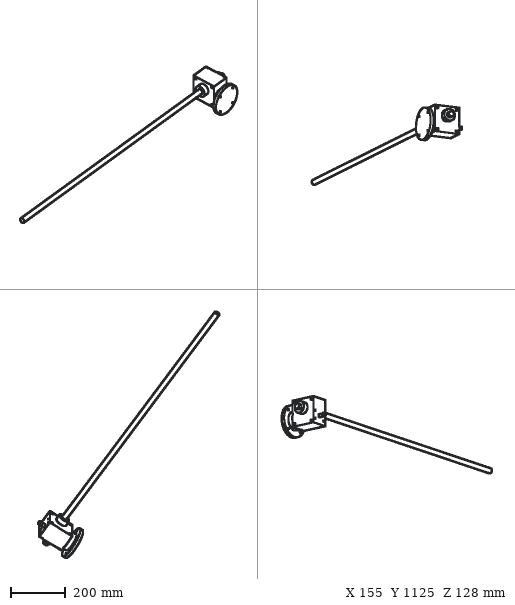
import cadquery as cq


HOUSING_LENGTH = 100.0
HOUSING_DEPTH = 70.0
HOUSING_HEIGHT = 100.0
HOUSING_TOP_Z = 68.0

BOSS_DIAMETER = 44.0
BOSS_LENGTH = 20.0

CORNER_HOLE_DIAMETER = 9.0
CORNER_HOLE_SPACING_X = 80.0
CORNER_HOLE_SPACING_Z = 84.0

FACE_HOLE_DIAMETER = 5.0
FACE_HOLE_DEPTH = 10.0
FACE_HOLE_SPACING_Y = 51.0
FACE_HOLE_SPACING_Z = 30.0

ROD_DIAMETER = 20.0
ROD_LENGTH = 1125.0
ROD_BACK_PROJECTION = 15.0
ROD_AXIS_RISE = 30.0

SHAFT_DIAMETER = 12.0
SHAFT_PROJECTION = 25.0
SHAFT_HOLE_DIAMETER = 4.2
SHAFT_HOLE_DEPTH = 12.0

HUB_DIAMETER = 71.0
HUB_LENGTH = 18.0
FLANGE_DIAMETER = 120.0
FLANGE_THICKNESS = 12.0
BOLT_CIRCLE_DIAMETER = 100.0
BOLT_HOLE_DIAMETER = 5.0
BOLT_COUNT = 4
FIRST_BOLT_ANGLE = 45
FULL_TURN = 360

HOUSING_CENTRE_Z = HOUSING_TOP_Z - HOUSING_HEIGHT / 2
ROD_AXIS_X = HOUSING_LENGTH / 2
BOSS_SPAN = HOUSING_DEPTH + 2 * BOSS_LENGTH
DISC_X = HOUSING_LENGTH + HUB_LENGTH
ROD_BACK_Y = BOSS_SPAN / 2 + ROD_BACK_PROJECTION


def cylinder_along_x(diameter, start_x, length):
    return cq.Workplane("YZ", origin=(start_x, 0, 0)).circle(diameter / 2).extrude(length)


def cylinder_along_y(diameter, back_y, length):
    """Cylinder on the rod axis, running from back_y toward -Y."""
    plane = cq.Workplane("XZ", origin=(ROD_AXIS_X, back_y, ROD_AXIS_RISE))
    return plane.circle(diameter / 2).extrude(length)


def corner_holes():
    return (
        cq.Workplane("XZ", origin=(HOUSING_LENGTH / 2, HOUSING_DEPTH / 2, HOUSING_CENTRE_Z))
        .rect(CORNER_HOLE_SPACING_X, CORNER_HOLE_SPACING_Z, forConstruction=True)
        .vertices()
        .circle(CORNER_HOLE_DIAMETER / 2)
        .extrude(HOUSING_DEPTH)
    )


def face_holes():
    return (
        cq.Workplane("YZ")
        .rect(FACE_HOLE_SPACING_Y, FACE_HOLE_SPACING_Z, forConstruction=True)
        .vertices()
        .circle(FACE_HOLE_DIAMETER / 2)
        .extrude(FACE_HOLE_DEPTH)
    )


def make_housing():
    centre = (HOUSING_LENGTH / 2, 0, HOUSING_CENTRE_Z)
    block = cq.Workplane("XY", origin=centre).box(HOUSING_LENGTH, HOUSING_DEPTH, HOUSING_HEIGHT)
    bosses = cylinder_along_y(BOSS_DIAMETER, BOSS_SPAN / 2, BOSS_SPAN)
    rod_bore = cylinder_along_y(ROD_DIAMETER, BOSS_SPAN / 2, BOSS_SPAN)
    return block.union(bosses).cut(rod_bore).cut(corner_holes()).cut(face_holes())


def make_rod():
    return cylinder_along_y(ROD_DIAMETER, ROD_BACK_Y, ROD_LENGTH)


def make_shaft():
    shaft = cylinder_along_x(SHAFT_DIAMETER, -SHAFT_PROJECTION, SHAFT_PROJECTION)
    end_hole = cylinder_along_x(SHAFT_HOLE_DIAMETER, -SHAFT_PROJECTION, SHAFT_HOLE_DEPTH)
    return shaft.cut(end_hole)


def make_flange():
    hub = cylinder_along_x(HUB_DIAMETER, HOUSING_LENGTH, HUB_LENGTH)
    disc = cylinder_along_x(FLANGE_DIAMETER, DISC_X, FLANGE_THICKNESS)
    bolt_holes = (
        cq.Workplane("YZ", origin=(DISC_X, 0, 0))
        .polarArray(BOLT_CIRCLE_DIAMETER / 2, FIRST_BOLT_ANGLE, FULL_TURN, BOLT_COUNT)
        .circle(BOLT_HOLE_DIAMETER / 2)
        .extrude(FLANGE_THICKNESS)
    )
    return hub.union(disc).cut(bolt_holes)


housing = make_housing()
rod = make_rod()
shaft = make_shaft()
flange = make_flange()

result = cq.Compound.makeCompound([housing.val(), rod.val(), shaft.val(), flange.val()])